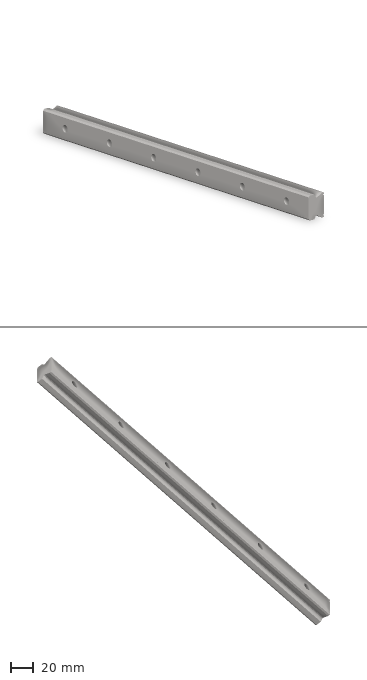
import cadquery as cq

length = 360.0
depth = 18.0
height = 23.0
half_height = height / 2

front_chamfer = 1.5
back_chamfer = 0.55

groove_front = 6.5
groove_floor_front = 8.5
groove_floor_back = 9.7
ramp_break = 14.0
groove_back = 15.5
groove_depth = 3.2
ramp_break_depth = 0.9

notch_offset = 2.0
notch_width = 1.8
notch_depth = 1.0

hole_count = 6
hole_diameter = 7.0
hole_pitch = length / hole_count


def upper_outline():
    """Upper half of the cross-section as (Y, Z) points, from front to back."""
    notch_z = half_height - notch_offset
    return [
        (0, half_height - front_chamfer),
        (front_chamfer, half_height),
        (groove_front, half_height),
        (groove_floor_front, half_height - groove_depth),
        (groove_floor_back, half_height - groove_depth),
        (ramp_break, half_height - ramp_break_depth),
        (groove_back, half_height),
        (depth - back_chamfer, half_height),
        (depth, half_height - back_chamfer),
        (depth, notch_z + notch_width / 2),
        (depth - notch_depth, notch_z),
        (depth, notch_z - notch_width / 2),
    ]


def rail_bar():
    """Solid bar whose lower half mirrors the upper half."""
    upper = upper_outline()
    lower = [(y, -z) for y, z in reversed(upper)]
    return cq.Workplane("YZ").polyline(upper + lower).close().extrude(length)


def mounting_holes():
    """Cylinders running through the full depth at mid-height."""
    centers = [((i + 0.5) * hole_pitch, 0) for i in range(hole_count)]
    return cq.Workplane("XZ").pushPoints(centers).circle(hole_diameter / 2).extrude(-depth)


result = rail_bar().cut(mounting_holes())